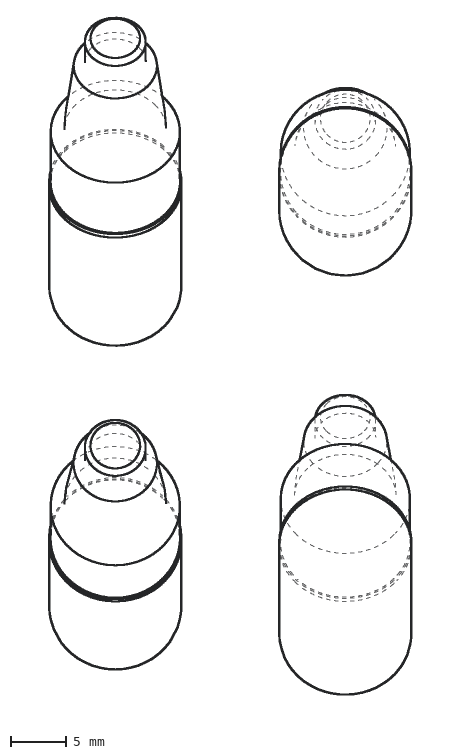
import cadquery as cq
import math

total_height = 39.7

handle_radius = 6.0
handle_height = 18.0
handle_bottom_fillet = 3.0

flange_thickness = 0.5
barrel_radius = 11.7 / 2
barrel_top = 25.92

neck_foot_radius = 4.6
neck_foot_fillet = 0.3
neck_blend_height = 2.2
neck_top_radius = 3.77
neck_top = 35.7

pin_radius = 5.5 / 2
pin_foot_fillet = 0.5
pin_chamfer = 0.5

flange_top = handle_height + flange_thickness
blend_bottom = barrel_top + neck_foot_fillet


def make_handle():
    """Solid cylinder with a large fillet around its lower edge."""
    handle = cq.Workplane("XY").circle(handle_radius).extrude(handle_height)
    return handle.faces("<Z").edges().fillet(handle_bottom_fillet)


def blend_arc_points():
    """Middle and upper end of the arc that is vertical at the neck foot and tangent to the taper."""
    taper_run = neck_top - blend_bottom - neck_blend_height / 2
    taper_angle = math.atan2(neck_foot_radius - neck_top_radius, taper_run)
    arc_radius = neck_blend_height / math.sin(taper_angle)

    def point_at(angle):
        radius = neck_foot_radius - arc_radius * (1 - math.cos(angle))
        return radius, blend_bottom + arc_radius * math.sin(angle)

    return point_at(taper_angle / 2), point_at(taper_angle)


def fillet_middle(wall_radius, floor_height, fillet_radius):
    """Middle point of a concave quarter arc between a vertical wall and a flat floor."""
    inset = fillet_radius * (1 - math.sqrt(0.5))
    return wall_radius + inset, floor_height + inset


def make_stem():
    """Flange, barrel, tapered neck and tip pin revolved as one body."""
    blend_middle, blend_end = blend_arc_points()
    neck_fillet_middle = fillet_middle(neck_foot_radius, barrel_top, neck_foot_fillet)
    pin_fillet_middle = fillet_middle(pin_radius, neck_top, pin_foot_fillet)
    profile = (
        cq.Workplane("XZ")
        .moveTo(0, handle_height)
        .lineTo(handle_radius, handle_height)
        .lineTo(handle_radius, flange_top)
        .lineTo(barrel_radius, flange_top)
        .lineTo(barrel_radius, barrel_top)
        .lineTo(neck_foot_radius + neck_foot_fillet, barrel_top)
        .threePointArc(neck_fillet_middle, (neck_foot_radius, blend_bottom))
        .threePointArc(blend_middle, blend_end)
        .lineTo(neck_top_radius, neck_top)
        .lineTo(pin_radius + pin_foot_fillet, neck_top)
        .threePointArc(pin_fillet_middle, (pin_radius, neck_top + pin_foot_fillet))
        .lineTo(pin_radius, total_height - pin_chamfer)
        .lineTo(pin_radius - pin_chamfer, total_height)
        .lineTo(0, total_height)
        .close()
    )
    return profile.revolve(360, (0, 0, 0), (0, 1, 0))


handle = make_handle()
stem = make_stem()
result = cq.Compound.makeCompound([handle.val(), stem.val()])